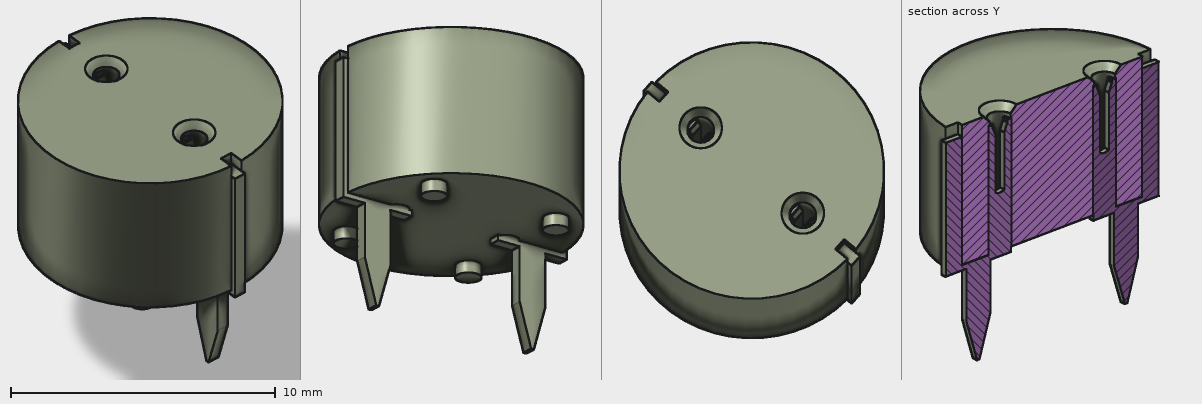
import cadquery as cq
import math

housing_diameter = 10.0
housing_height = 6.0
peg_diameter = 1.0
peg_height = 0.5
peg_circle_radius = 4.0
socket_spacing = 5.1
socket_diameter = 1.0
socket_mouth_diameter = 1.6
socket_mouth_depth = 0.3

contact_span = 10.4
contact_thickness = 0.5
contact_top = housing_height - 0.5
base_thickness = 0.23
arm_inner_x = 4.4
leg_inner_x = 3.01
leg_width = 1.2
leg_tip_width = 0.14
leg_tip_z = -4.3
leg_outer_shoulder_z = -2.44
leg_inner_shoulder_z = -2.5
fork_width = 1.08
fork_mouth_width = 0.7
fork_lip_depth = 0.12
fork_mouth_depth = 0.5
fork_gap_width = 0.4
fork_gap_depth = 3.0
fork_gap_sagitta = 0.05

socket_x = socket_spacing / 2
arm_outer_x = contact_span / 2
leg_outer_x = leg_inner_x + leg_width
leg_center_x = leg_inner_x + leg_width / 2
fork_inner_x = socket_x - fork_width / 2
fork_outer_x = socket_x + fork_width / 2


def sheet(profile):
    """Extrude an XZ outline to the contact thickness, centred on Y = 0."""
    return profile.extrude(contact_thickness / 2, both=True)


def make_base_and_leg():
    """Strip under the housing with the pointed solder leg below it."""
    return sheet(
        cq.Workplane("XZ").polyline([
            (fork_inner_x, 0),
            (arm_outer_x, 0),
            (arm_outer_x, -base_thickness),
            (leg_outer_x, -base_thickness),
            (leg_outer_x, leg_outer_shoulder_z),
            (leg_center_x + leg_tip_width / 2, leg_tip_z),
            (leg_center_x - leg_tip_width / 2, leg_tip_z),
            (leg_inner_x, leg_inner_shoulder_z),
            (leg_inner_x, -base_thickness),
            (fork_inner_x, -base_thickness),
        ]).close()
    )


def make_upright(inner_x, outer_x, top_z):
    """Plain upright strip rising from the housing bottom."""
    return sheet(
        cq.Workplane("XZ").moveTo(inner_x, 0).lineTo(outer_x, 0)
        .lineTo(outer_x, top_z).lineTo(inner_x, top_z).close()
    )


def make_fork_gap():
    """Short straight lip and tapered mouth above a gap with a shallow arc floor."""
    mouth_half = fork_mouth_width / 2
    gap_half = fork_gap_width / 2
    lip_bottom = contact_top - fork_lip_depth
    mouth_bottom = contact_top - fork_mouth_depth
    gap_bottom = contact_top - fork_gap_depth
    gap_wall_bottom = gap_bottom + fork_gap_sagitta
    return sheet(
        cq.Workplane("XZ")
        .moveTo(socket_x - mouth_half, contact_top)
        .lineTo(socket_x - mouth_half, lip_bottom)
        .lineTo(socket_x - gap_half, mouth_bottom)
        .lineTo(socket_x - gap_half, gap_wall_bottom)
        .threePointArc((socket_x, gap_bottom), (socket_x + gap_half, gap_wall_bottom))
        .lineTo(socket_x + gap_half, mouth_bottom)
        .lineTo(socket_x + mouth_half, lip_bottom)
        .lineTo(socket_x + mouth_half, contact_top)
        .close()
    )


def make_contact(side):
    """One contact: outer arm, base with leg, and fork; side is +1 or -1 along X."""
    arm = make_upright(arm_inner_x, arm_outer_x, contact_top)
    fork = make_upright(fork_inner_x, fork_outer_x, contact_top).cut(make_fork_gap())
    contact = make_base_and_leg().union(arm).union(fork)
    if side < 0:
        contact = contact.mirror("YZ")
    return contact


def make_socket(side):
    """Through hole with a countersunk mouth for one plug pin."""
    hole = (
        cq.Workplane("XY").center(side * socket_x, 0)
        .circle(socket_diameter / 2).extrude(housing_height)
    )
    mouth = (
        cq.Workplane("XY", origin=(side * socket_x, 0, housing_height - socket_mouth_depth))
        .circle(socket_diameter / 2)
        .workplane(offset=socket_mouth_depth)
        .circle(socket_mouth_diameter / 2)
        .loft()
    )
    return hole.union(mouth)


def make_contact_seat(side):
    """Full-height edge slot for the arm and a blind pocket for the fork."""
    slot = make_upright(arm_inner_x, arm_outer_x, housing_height)
    pocket = make_upright(fork_inner_x, fork_outer_x, contact_top)
    seat = slot.union(pocket)
    if side < 0:
        seat = seat.mirror("YZ")
    return seat


def make_housing():
    """Round block with four standoff pegs, two sockets and two contact seats."""
    peg_offset = peg_circle_radius * math.sqrt(0.5)
    housing = cq.Workplane("XY").circle(housing_diameter / 2).extrude(housing_height)
    pegs = (
        cq.Workplane("XY").rect(2 * peg_offset, 2 * peg_offset, forConstruction=True)
        .vertices().circle(peg_diameter / 2).extrude(-peg_height)
    )
    housing = housing.union(pegs)
    for side in (-1, 1):
        housing = housing.cut(make_socket(side)).cut(make_contact_seat(side))
    return housing


housing = make_housing()
contacts = [make_contact(side) for side in (-1, 1)]

result = cq.Compound.makeCompound([housing.val(), *[contact.val() for contact in contacts]])